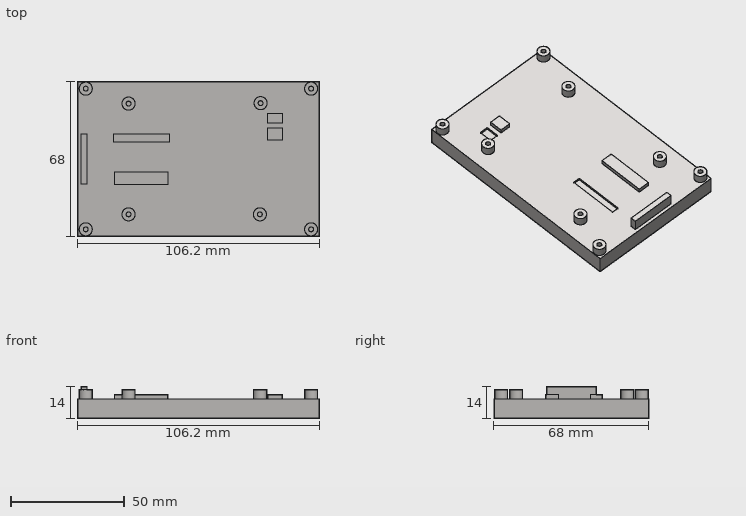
import cadquery as cq

plate_length = 106.2
plate_width = 68.0
total_height = 14.0
plate_thickness = 8.6

post_diameter = 5.7
post_height = 4.0
bore_diameter = 2.1
corner_post_x = 49.5
corner_post_y = 30.9
inner_post_y = 24.3
inner_left_x = -30.7
inner_right_front_x = 27.0
inner_right_back = (27.3, 24.5)

connector_size = (2.7, 21.9)
connector_center = (-50.2, 0.0)
connector_height = total_height - plate_thickness

pad_height = 1.9
long_pad_size = (23.5, 5.6)
long_pad_center = (-25.2, -8.5)
small_pad_size = (6.5, 5.3)
small_pad_center = (33.7, 10.9)

pocket_depth = 1.0
long_pocket_size = (24.5, 3.4)
long_pocket_center = (-25.0, 9.2)
small_pocket_size = (small_pad_size[0], 4.2)
small_pocket_center = (small_pad_center[0], 17.8)

post_positions = [(sx * corner_post_x, sy * corner_post_y) for sx in (-1, 1) for sy in (-1, 1)]
post_positions += [
    (inner_left_x, -inner_post_y),
    (inner_left_x, inner_post_y),
    (inner_right_front_x, -inner_post_y),
    inner_right_back,
]


def block_on_plate(size, center, height):
    """Rectangular block rising from the plate top, or sinking below it if height is negative."""
    top_face = cq.Workplane("XY").workplane(offset=plate_thickness)
    return top_face.center(*center).rect(*size).extrude(height)


def standoffs():
    """All posts, each with a central bore."""
    top_face = cq.Workplane("XY").workplane(offset=plate_thickness)
    posts = top_face.pushPoints(post_positions).circle(post_diameter / 2).extrude(post_height)
    bores = top_face.pushPoints(post_positions).circle(bore_diameter / 2).extrude(post_height)
    return posts.cut(bores)


plate = cq.Workplane("XY").box(
    plate_length, plate_width, plate_thickness, centered=(True, True, False)
)

result = (
    plate.union(standoffs())
    .union(block_on_plate(connector_size, connector_center, connector_height))
    .union(block_on_plate(long_pad_size, long_pad_center, pad_height))
    .union(block_on_plate(small_pad_size, small_pad_center, pad_height))
    .cut(block_on_plate(long_pocket_size, long_pocket_center, -pocket_depth))
    .cut(block_on_plate(small_pocket_size, small_pocket_center, -pocket_depth))
)